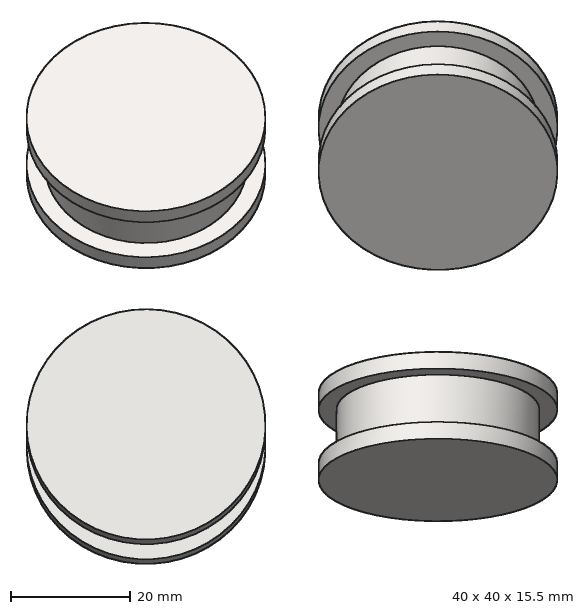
import cadquery as cq

flange_diameter = 40.0
core_diameter = 34.0
total_height = 15.5
flange_thickness = 3.0

core_height = total_height - 2 * flange_thickness


def disc(diameter, height, base_z):
    """Solid cylinder on the Z axis, standing on base_z."""
    return cq.Workplane("XY").workplane(offset=base_z).circle(diameter / 2).extrude(height)


bottom_flange = disc(flange_diameter, flange_thickness, -total_height / 2)
core = disc(core_diameter, core_height, -core_height / 2)
top_flange = disc(flange_diameter, flange_thickness, core_height / 2)

result = bottom_flange.union(core).union(top_flange)